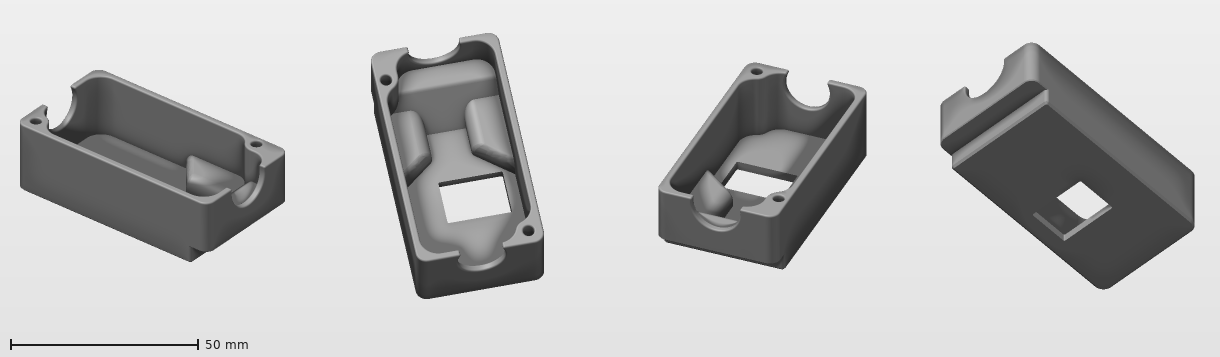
import cadquery as cq
import math

LENGTH = 66.0
WIDTH = 35.0
HEIGHT = 20.9
CORNER_RADIUS = 3.0
WALL = 2.0
FLOOR = 2.5
EDGE_ROUND = 0.5
BASE_CHAMFER = 0.6
STEP_CHAMFER = 0.25

STEP_X = 27.25
STEP_HEIGHT = 5.3
STEP_CORNER_RADIUS = 1.0

CAVITY_RADIUS = 5.0
BOSS_RADIUS = 3.5
BLOCK_Y = 11.15
BLOCK_ARC_X = 24.75
BLOCK_RADIUS = 4.5
SCREW_INSET = 3.95
BLOCK_SCREW_X = 23.95
BLOCK_SCREW_Y = 14.6
SCREW_DIAMETER = 3.0
SCREW_DEPTH = 9.9

RAMP_START_X = 15.45
RAMP_ANGLE = 42.5
RAMP_ROUND = 1.7
RAISED_FLOOR = 11.0

PAD_GAP = 10.9
PAD_SIDE_HEIGHT = 1.5
PAD_ROUND = 3.5
PAD_CORNER_X = 7.1
PAD_FLARE_ANGLE = 51.0
PAD_CORNER_ROUND = 1.45

WINDOW_CENTER = (-5.9, -3.6)
WINDOW_SIZE = (12.75, 17.55)
WINDOW_RADIUS = 0.4

LEFT_CUTOUT_RADIUS = 6.55
LEFT_CUTOUT_Z = 17.3
RIGHT_CUTOUT_RADIUS = 7.0
RIGHT_CUTOUT_Z = 19.5

HALF_LENGTH = LENGTH / 2
HALF_WIDTH = WIDTH / 2
INNER_X = HALF_LENGTH - WALL
INNER_Y = HALF_WIDTH - WALL
BOSS_SCREW = (SCREW_INSET - HALF_LENGTH, SCREW_INSET - HALF_WIDTH)
BLOCK_SCREW = (BLOCK_SCREW_X, BLOCK_SCREW_Y)


def edges_near(body, points):
    """For each point, the edge whose center is nearest to it."""
    found = [body.edges(cq.selectors.NearestToPointSelector(point)).val() for point in points]
    return body.newObject(found)


def other_leg(hypotenuse, leg):
    return math.sqrt(hypotenuse**2 - leg**2)


def make_body():
    """Solid outer shape: a long upper block on a shorter lower block."""
    upper = (
        cq.Workplane("XY", origin=(0, 0, STEP_HEIGHT))
        .rect(LENGTH, WIDTH)
        .extrude(HEIGHT - STEP_HEIGHT)
        .edges("|Z")
        .fillet(CORNER_RADIUS)
        .faces("<Z")
        .edges()
        .chamfer(STEP_CHAMFER)
    )
    lower = (
        cq.Workplane("XY", origin=(-HALF_LENGTH, 0, 0))
        .box(STEP_X + HALF_LENGTH, WIDTH, STEP_HEIGHT + FLOOR, centered=(False, True, False))
        .edges("|Z and <X")
        .fillet(CORNER_RADIUS)
        .edges("|Z and >X")
        .fillet(STEP_CORNER_RADIUS)
        .faces("<Z")
        .edges()
        .chamfer(BASE_CHAMFER)
    )
    return upper.union(lower)


def arc_middle(center, start, end, radius):
    """Point halfway along the shorter arc from start to end."""
    dx = (start[0] + end[0]) / 2 - center[0]
    dy = (start[1] + end[1]) / 2 - center[1]
    stretch = radius / math.hypot(dx, dy)
    return (center[0] + dx * stretch, center[1] + dy * stretch)


def touch_point(center_a, radius_a, center_b, radius_b):
    """Point where two circles touch from outside."""
    share = radius_a / (radius_a + radius_b)
    dx = center_b[0] - center_a[0]
    dy = center_b[1] - center_a[1]
    return (center_a[0] + dx * share, center_a[1] + dy * share)


def make_cavity():
    """Cavity with rounded corners that curves around the two screw holes."""
    r = CAVITY_RADIUS
    corner_x = INNER_X - r
    corner_y = INNER_Y - r

    reach = r + BOSS_RADIUS
    boss_x, boss_y = BOSS_SCREW
    side = (-corner_x, boss_y + other_leg(reach, corner_x + boss_x))
    front = (boss_x + other_leg(reach, corner_y + boss_y), -corner_y)
    side_touch = touch_point(side, r, BOSS_SCREW, BOSS_RADIUS)
    front_touch = touch_point(front, r, BOSS_SCREW, BOSS_RADIUS)

    block = (BLOCK_ARC_X, BLOCK_Y + BLOCK_RADIUS)
    back = (BLOCK_ARC_X - other_leg(r + BLOCK_RADIUS, block[1] - corner_y), corner_y)
    back_touch = touch_point(back, r, block, BLOCK_RADIUS)

    arcs = [
        ((corner_x, -INNER_Y), (corner_x, -corner_y), (INNER_X, -corner_y), r),
        ((INNER_X, BLOCK_Y - r), (corner_x, BLOCK_Y - r), (corner_x, BLOCK_Y), r),
        ((BLOCK_ARC_X, BLOCK_Y), block, back_touch, BLOCK_RADIUS),
        (back_touch, back, (back[0], INNER_Y), r),
        ((-corner_x, INNER_Y), (-corner_x, corner_y), (-INNER_X, corner_y), r),
        ((-INNER_X, side[1]), side, side_touch, r),
        (side_touch, BOSS_SCREW, front_touch, BOSS_RADIUS),
        (front_touch, front, (front[0], -INNER_Y), r),
    ]
    position = (front[0], -INNER_Y)
    outline = cq.Workplane("XY", origin=(0, 0, FLOOR)).moveTo(*position)
    for start, center, end, radius in arcs:
        if start != position:
            outline = outline.lineTo(*start)
        outline = outline.threePointArc(arc_middle(center, start, end, radius), end)
        position = end
    return outline.close().extrude(HEIGHT - FLOOR)


def make_ramp():
    """Ramp and raised floor across the full width, with a rounded crest."""
    crest_x = RAMP_START_X + (RAISED_FLOOR - FLOOR) / math.tan(math.radians(RAMP_ANGLE))
    ramp = (
        cq.Workplane("XZ", origin=(0, HALF_WIDTH, 0))
        .moveTo(RAMP_START_X, FLOOR)
        .lineTo(crest_x, RAISED_FLOOR)
        .lineTo(HALF_LENGTH, RAISED_FLOOR)
        .lineTo(HALF_LENGTH, FLOOR)
        .close()
        .extrude(WIDTH)
    )
    return edges_near(ramp, [(crest_x, 0, RAISED_FLOOR)]).fillet(RAMP_ROUND)


def pad_run(y_per_x):
    """Round-shouldered bar through the pad corner, its YZ section swept along a slanted line."""
    start_y = PAD_GAP / 2 - y_per_x * (HALF_LENGTH + PAD_CORNER_X)
    shoulder = FLOOR + PAD_SIDE_HEIGHT
    top = shoulder + PAD_ROUND
    section = (
        cq.Workplane("YZ", origin=(-HALF_LENGTH, start_y, 0))
        .moveTo(0, FLOOR)
        .lineTo(0, shoulder)
        .radiusArc((PAD_ROUND, top), PAD_ROUND)
        .lineTo(2 * LENGTH, top)
        .lineTo(2 * LENGTH, FLOOR)
        .close()
    )
    face = cq.Face.makeFromWires(section.wires().val())
    path = cq.Vector(LENGTH, y_per_x * LENGTH, 0)
    return cq.Workplane(cq.Solid.extrudeLinear(face, path))


def make_pad():
    """Pad on the +Y side: the overlap of a straight bar and a flared bar."""
    flare = -math.tan(math.radians(PAD_FLARE_ANGLE))
    pad = pad_run(0).intersect(pad_run(flare))
    corner = (PAD_CORNER_X, PAD_GAP / 2, FLOOR + PAD_SIDE_HEIGHT / 2)
    return edges_near(pad, [corner]).fillet(PAD_CORNER_ROUND)


def make_cutout(side, radius, center_z):
    """Cutter for one end wall: a round bore with rounded lips where it opens at the rim."""
    bore = cq.Workplane("YZ").center(0, center_z).circle(radius).extrude(side * LENGTH)
    above = (
        cq.Workplane("YZ")
        .center(0, HEIGHT + HALF_WIDTH)
        .rect(WIDTH, WIDTH)
        .extrude(side * LENGTH)
    )
    lip_y = other_leg(radius, HEIGHT - center_z)
    lips = [(side * HALF_LENGTH, y, HEIGHT) for y in (-lip_y, lip_y)]
    return edges_near(bore.union(above), lips).fillet(EDGE_ROUND)


def make_window():
    return (
        cq.Workplane("XY")
        .center(*WINDOW_CENTER)
        .rect(*WINDOW_SIZE)
        .extrude(FLOOR)
        .edges("|Z")
        .fillet(WINDOW_RADIUS)
    )


def round_rim(body):
    """Round one edge of the outer rim and one of the cavity rim.

    Tangency carries the rounding along each whole rim and down through both cutouts.
    """
    long_edges = body.faces(">Z").edges("|X")
    cavity_zone = cq.selectors.BoxSelector((-INNER_X, -HALF_WIDTH + WALL / 2, 0), (INNER_X, 0, 2 * HEIGHT))
    seeds = [long_edges.edges("<Y").val(), long_edges.edges(cavity_zone).val()]
    return body.newObject(seeds).fillet(EDGE_ROUND)


def drill_screw_holes(body):
    """Two blind holes with rounded mouths."""
    centers = [BOSS_SCREW, BLOCK_SCREW]
    holes = (
        cq.Workplane("XY", origin=(0, 0, HEIGHT))
        .pushPoints(centers)
        .circle(SCREW_DIAMETER / 2)
        .extrude(-SCREW_DEPTH)
    )
    mouths = [(x, y, HEIGHT) for x, y in centers]
    return edges_near(body.cut(holes), mouths).fillet(EDGE_ROUND)


pad = make_pad()
filling = make_ramp().union(pad).union(pad.mirror("XZ"))
result = make_body().cut(make_cavity().cut(filling))
result = result.cut(make_cutout(-1, LEFT_CUTOUT_RADIUS, LEFT_CUTOUT_Z))
result = result.cut(make_cutout(1, RIGHT_CUTOUT_RADIUS, RIGHT_CUTOUT_Z))

result = round_rim(result)
result = drill_screw_holes(result)
result = result.cut(make_window())